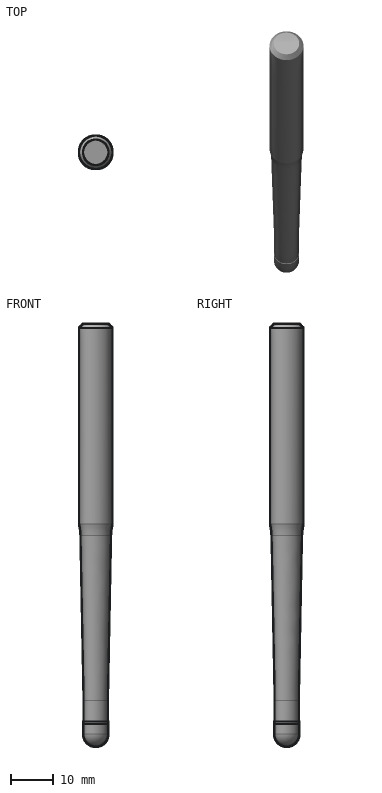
import cadquery as cq
import math

TOTAL_LENGTH = 100.0
SHANK_RADIUS = 4.0
SHANK_CHAMFER = 1.0
SHANK_START = 52.7

BALL_RADIUS = 3.0
CUTTER_LENGTH = 5.4

NECK_RADIUS = 5.8 / 2
NECK_START = 6.0
TAPER_START = 11.0
TAPER_END = 50.0
TAPER_END_RADIUS = 7.3 / 2


def make_cutter():
    """Hemispherical tip with a short cylinder above it."""
    ball_arc_middle = BALL_RADIUS * math.sqrt(0.5)
    profile = (
        cq.Workplane("XZ")
        .moveTo(0, 0)
        .threePointArc(
            (ball_arc_middle, BALL_RADIUS - ball_arc_middle),
            (BALL_RADIUS, BALL_RADIUS),
        )
        .lineTo(BALL_RADIUS, CUTTER_LENGTH)
        .lineTo(0, CUTTER_LENGTH)
        .close()
    )
    return profile.revolve(360, (0, 0), (0, 1))


def make_holder():
    """Full-radius collar, straight neck, tapered neck, curved shoulder and shank with a chamfered end."""
    profile = (
        cq.Workplane("XZ")
        .moveTo(0, CUTTER_LENGTH)
        .lineTo(BALL_RADIUS, CUTTER_LENGTH)
        .lineTo(BALL_RADIUS, NECK_START)
        .lineTo(NECK_RADIUS, NECK_START)
        .lineTo(NECK_RADIUS, TAPER_START)
        .lineTo(TAPER_END_RADIUS, TAPER_END)
        .tangentArcPoint((SHANK_RADIUS, SHANK_START), relative=False)
        .lineTo(SHANK_RADIUS, TOTAL_LENGTH - SHANK_CHAMFER)
        .lineTo(SHANK_RADIUS - SHANK_CHAMFER, TOTAL_LENGTH)
        .lineTo(0, TOTAL_LENGTH)
        .close()
    )
    return profile.revolve(360, (0, 0), (0, 1))


cutter = make_cutter()
holder = make_holder()

result = cq.Compound.makeCompound([cutter.val(), holder.val()])